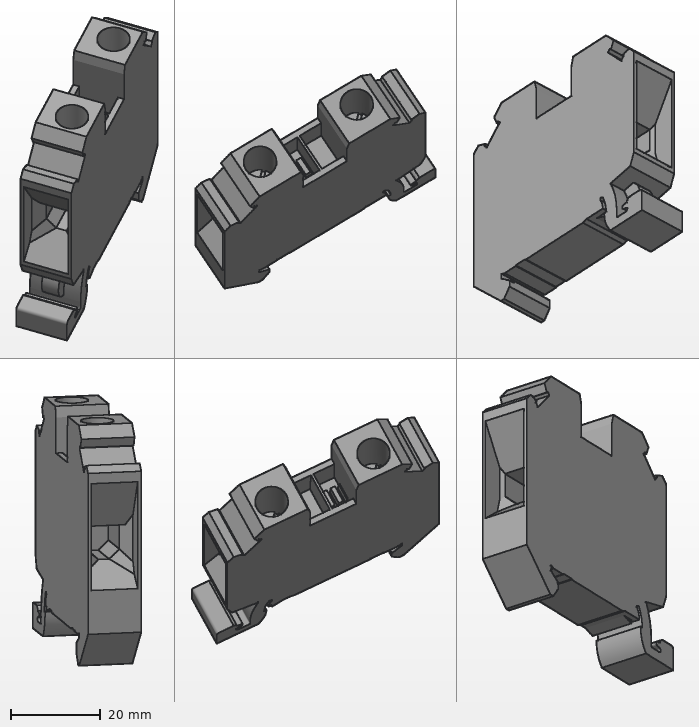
import cadquery as cq


thickness = 12.15
height = 54.35
half_length = 26.42
clip_front = 29.08

slot_half_width = 5.75
slot_flare_half_width = 6.35
slot_flare_start = 51.9
slot_floor = 43.85

pocket_width = 9.25
pocket_depth = 8.0
rear_pocket_length = 5.25
divider_top = 0.6
divider_foot = 0.85

tooth_width = 4.0
tooth_height = 2.0
teeth = ((0.0, 0.25, 0.25), (1.2, 1.1, 0.2), (3.25, 1.25, 0.75))

clamp_center_x = 0.85
screw_offset = 12.7
bore_diameter = 7.3
bore_depth = 15.0
driver_slot_width = 0.85
driver_slot_depth = 1.0
driver_slot_angle = -45

mouth_left = -5.25
mouth_right = 5.3
mouth_top = 42.8
mouth_bottom = 18.65
channel_half_width = 3.57
channel_floor_half_width = 1.24
channel_top = 32.0
channel_chamfer_top = 26.35
channel_bottom = 24.2
channel_length = 12.0
ceiling_run = 6.25
funnel_length = 7.3
left_taper_start = 4.8
right_taper_end = 6.25
left_chamfer_start = 3.46
right_chamfer_start = 4.5

housing_bottom = 6.95
rail_recess_top = 7.35
arm_root = (18.7, 12.85)
arm_outer = 20.75
arm_bend_end = 4.3
clip_floor = 2.42
clip_top = 5.9
clip_floor_radius = 0.3
clip_tip_radius = 0.75
catch_width = 4.0
catch_bottom = 5.0
catch_top = 13.7
side_plate = 1.5


def side_plane(x):
    """Sketch plane at the given X: local x is forward (-Y), local y is Z, extrusion runs to -X."""
    return cq.Workplane(cq.Plane(origin=(x, 0, 0), xDir=(0, -1, 0), normal=(-1, 0, 0)))


def shoulder(side):
    """Outline of one tower, from the slot floor out to the end face (side: +1 front, -1 rear)."""
    points = [
        (slot_half_width, slot_floor),
        (slot_half_width, slot_flare_start),
        (slot_flare_half_width, height),
        (17.2, height),
        (19.7, 51.65),
        (18.85, 49.6),
        (18.5, 49.95),
        (17.85, 49.3),
        (22.2, 44.65),
        (22.95, 45.55),
        (22.65, 45.95),
        (24.85, 46.65),
        (half_length, 45.15),
    ]
    return [(side * forward, z) for forward, z in points]


def housing():
    """Full-thickness side profile with the fixed rear hook and the sprung front clip."""
    rear_foot = [
        (-9.35, housing_bottom),
        (-9.35, 7.15),
        (-12.55, 7.15),
        (-12.55, housing_bottom),
        (-16.2, housing_bottom),
        (-17.25, rail_recess_top),
        (-17.25, 6.0),
        (-14.6, 4.15),
        (-14.6, 2.42),
        (-16.4, 0),
        (-17.5, 0),
        (-half_length, 8.75),
    ]
    bend_run = arm_outer - arm_root[0]
    bend_rise = arm_root[1] - arm_bend_end
    arm_bend_radius = (bend_run**2 + bend_rise**2) / (2 * bend_run)

    profile = side_plane(thickness / 2).polyline(shoulder(1))
    profile = profile.lineTo(half_length, 17.35).lineTo(25.2, 14.15).lineTo(*arm_root)
    profile = profile.radiusArc((arm_outer, arm_bend_end), arm_bend_radius)
    profile = profile.lineTo(arm_outer, clip_floor + clip_floor_radius)
    profile = profile.radiusArc((arm_outer + clip_floor_radius, clip_floor), -clip_floor_radius)
    profile = profile.lineTo(23.8, clip_floor)
    profile = profile.threePointArc((24.25, 2.95), (23.7, 3.45)).lineTo(22.9, 3.7)
    profile = profile.threePointArc((22.55, 4.15), (22.9, 4.65)).lineTo(24.0, 4.85)
    profile = profile.threePointArc((24.3, 5.5), (24.85, clip_top))
    profile = profile.lineTo(clip_front - clip_tip_radius, clip_top)
    profile = profile.radiusArc((clip_front, clip_top - clip_tip_radius), clip_tip_radius)
    profile = profile.lineTo(clip_front, 0).lineTo(18.7, 0)
    profile = profile.threePointArc((17.2, 2.6), (16.65, clip_top)).lineTo(17.3, clip_top)
    profile = profile.threePointArc((16.95, 8.25), (16.15, 10.4))
    profile = profile.threePointArc((15.7, 10.65), (15.25, 10.2))
    profile = profile.threePointArc((15.9, 8.9), (16.15, rail_recess_top))
    profile = profile.lineTo(10.8, rail_recess_top).lineTo(9.6, housing_bottom)
    for point in rear_foot + shoulder(-1)[::-1]:
        profile = profile.lineTo(*point)
    return profile.close().extrude(thickness)


def foot_details():
    """Small ridges on the foot, set back behind the side plate on the -X face."""
    rail_stop = [(12.5, rail_recess_top), (15.25, 6.5), (15.4, rail_recess_top)]
    hook_lip = [(-17.25, 6.3), (-14.6, 4.6), (-14.6, 4.15), (-17.25, 6.0)]
    depth = thickness - side_plate
    ridges = side_plane(thickness / 2).polyline(rail_stop).close().extrude(depth)
    return ridges.union(side_plane(thickness / 2).polyline(hook_lip).close().extrude(depth))


def arm_catch():
    """Round-nosed catch on the spring arm, centred in the thickness."""
    outline = side_plane(catch_width / 2).moveTo(21.4, catch_top)
    outline = outline.threePointArc((23.87, 9.4), (arm_outer, catch_bottom))
    return outline.lineTo(19.5, catch_bottom).lineTo(18.2, catch_top).close().extrude(catch_width)


def screw_bore(y):
    """Screw bore from the tower top down to the slotted screw head."""
    head = height - bore_depth
    bore = cq.Workplane("XY", origin=(clamp_center_x, y, head)).circle(bore_diameter / 2).extrude(bore_depth)
    driver_slot = (
        cq.Workplane("XY", origin=(clamp_center_x, y, head - driver_slot_depth))
        .transformed(rotate=(0, 0, driver_slot_angle))
        .rect(bore_diameter, driver_slot_width)
        .extrude(driver_slot_depth)
    )
    rim = bore.translate((0, 0, -driver_slot_depth))
    return bore.union(driver_slot.intersect(rim))


def slot_pockets():
    """Two pockets in the slot floor, split by a tapered divider."""
    bottom = slot_floor - pocket_depth
    divider_rear = rear_pocket_length - slot_half_width
    rear = [
        (-slot_half_width, slot_floor),
        (divider_rear, slot_floor),
        (divider_rear, bottom),
        (-slot_half_width, bottom),
    ]
    front = [
        (divider_rear + divider_top, slot_floor),
        (slot_half_width, slot_floor),
        (slot_half_width, bottom),
        (divider_rear + divider_foot, bottom),
    ]
    pockets = side_plane(pocket_width / 2).polyline(rear).close().extrude(pocket_width)
    pockets = pockets.union(side_plane(pocket_width / 2).polyline(front).close().extrude(pocket_width))
    for back, flat, slope in teeth:
        start = back - slot_half_width
        tooth = [
            (start, bottom),
            (start, bottom + tooth_height),
            (start + flat, bottom + tooth_height),
            (start + flat + slope, bottom),
        ]
        pockets = pockets.cut(side_plane(tooth_width / 2).polyline(tooth).close().extrude(tooth_width))
    return pockets


def space_below(first, second, third):
    """Large block under the plane through three points."""
    size = 4 * funnel_length
    a, b, c = cq.Vector(*first), cq.Vector(*second), cq.Vector(*third)
    normal = (b - a).cross(c - a)
    if normal.z > 0:
        normal = normal * -1
    return cq.Workplane(cq.Plane(origin=first, xDir=b - a, normal=normal)).rect(size, size).extrude(size)


def wire_entry():
    """Funnel-shaped mouth in the front face followed by the straight wire channel."""
    face_y = -half_length
    end_y = face_y + funnel_length
    channel_left = clamp_center_x - channel_half_width
    channel_right = clamp_center_x + channel_half_width
    floor_left = clamp_center_x - channel_floor_half_width
    floor_right = clamp_center_x + channel_floor_half_width
    floor_slope = (channel_bottom - mouth_bottom) / funnel_length

    section = [
        (half_length, mouth_top),
        (half_length - ceiling_run, channel_top),
        (half_length - funnel_length, channel_top),
        (half_length - funnel_length, channel_bottom),
        (half_length, mouth_bottom),
    ]
    funnel = side_plane(mouth_right).polyline(section).close().extrude(mouth_right - mouth_left)

    right_taper_start = right_taper_end - (mouth_right - channel_right)
    plan = [
        (mouth_left, face_y),
        (mouth_left, face_y + left_taper_start),
        (channel_left, end_y),
        (channel_right, end_y),
        (channel_right, face_y + right_taper_end),
        (mouth_right, face_y + right_taper_start),
        (mouth_right, face_y),
    ]
    funnel = funnel.intersect(cq.Workplane("XY").polyline(plan).close().extrude(height))

    left_facet = space_below(
        (channel_left, end_y, channel_chamfer_top),
        (floor_left, end_y, channel_bottom),
        (mouth_left, face_y + left_chamfer_start, mouth_bottom + floor_slope * left_chamfer_start),
    )
    right_facet = space_below(
        (channel_right, face_y + right_taper_end, channel_chamfer_top),
        (floor_right, end_y, channel_bottom),
        (mouth_right, face_y + right_chamfer_start, mouth_bottom + floor_slope * right_chamfer_start),
    )
    funnel = funnel.cut(left_facet).cut(right_facet)

    channel_section = [
        (channel_left, channel_top),
        (channel_right, channel_top),
        (channel_right, channel_chamfer_top),
        (floor_right, channel_bottom),
        (floor_left, channel_bottom),
        (channel_left, channel_chamfer_top),
    ]
    channel_plane = cq.Workplane("XZ", origin=(0, face_y + right_taper_end, 0))
    channel = channel_plane.polyline(channel_section).close().extrude(-channel_length)
    return funnel.union(channel)


entry = wire_entry()
result = housing().union(foot_details()).union(arm_catch())
result = result.cut(slot_pockets())
result = result.cut(entry).cut(entry.mirror("XZ"))
for bore_y in (-screw_offset, screw_offset):
    result = result.cut(screw_bore(bore_y))